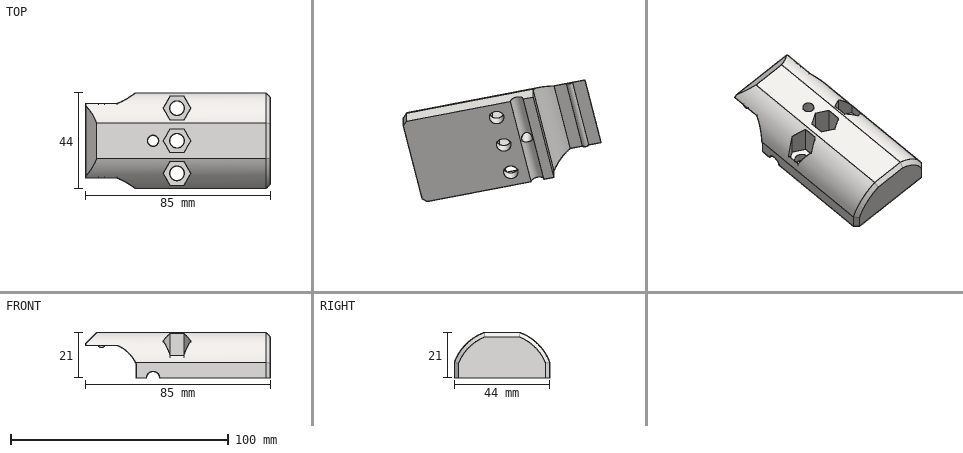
import cadquery as cq
import math

length = 85.0
width = 44.0
height = 21.0
crown_radius = 23.5
crown_axis_z = -1.0
end_chamfer = 2.0

tail_underside_z = 15.0
lip_bevel = 5.0
wall_x = 23.25
relief_radius = 16.25
relief_center_x = 8.25
relief_center_z = 0.0

rib_x = 7.25
rib_radius = 1.6
rib_depth = 1.0
groove_radius = 3.0
groove_x = 31.0

bolt_x = 42.0
bolt_pitch = 15.0
bolt_diameter = 6.6
nut_across_flats = 11.0
nut_seat_z = 5.0
pin_hole_x = 31.0
pin_hole_diameter = 5.0


def crown_half_width(z):
    """Half width of the crown circle at height z."""
    return math.sqrt(crown_radius**2 - (z - crown_axis_z) ** 2)


def crowned_bar():
    """Crowned bar tapering at the far end; it starts below z = 0 so the taper misses the underside."""
    half = width / 2
    base_z = -2 * end_chamfer
    shoulder_z = crown_axis_z + math.sqrt(crown_radius**2 - half**2)
    flat_half = crown_half_width(height)
    mid_y = (half + flat_half) / 2
    mid_z = crown_axis_z + math.sqrt(crown_radius**2 - mid_y**2)
    section = (
        cq.Workplane("YZ")
        .moveTo(-half, base_z)
        .lineTo(half, base_z)
        .lineTo(half, shoulder_z)
        .threePointArc((mid_y, mid_z), (flat_half, height))
        .lineTo(-flat_half, height)
        .threePointArc((-mid_y, mid_z), (-half, shoulder_z))
        .close()
    )
    straight_length = length - end_chamfer
    straight = section.extrude(straight_length)
    return straight.faces(">X").wires().toPending().workplane().extrude(end_chamfer, taper=45)


def side_profile():
    """Side outline of tail, concave relief and body, extruded across the width."""
    relief_start_x = relief_center_x + math.sqrt(
        relief_radius**2 - (tail_underside_z - relief_center_z) ** 2
    )
    relief_end_z = relief_center_z + math.sqrt(relief_radius**2 - (wall_x - relief_center_x) ** 2)
    mid_angle = math.radians(45)
    relief_mid = (
        relief_center_x + relief_radius * math.cos(mid_angle),
        relief_center_z + relief_radius * math.sin(mid_angle),
    )
    return (
        cq.Workplane("XZ")
        .moveTo(wall_x, 0)
        .lineTo(length, 0)
        .lineTo(length, height)
        .lineTo(lip_bevel, height)
        .lineTo(0, height - lip_bevel)
        .lineTo(0, tail_underside_z)
        .lineTo(relief_start_x, tail_underside_z)
        .threePointArc(relief_mid, (wall_x, relief_end_z))
        .close()
        .extrude(width / 2, both=True)
    )


def locking_rib():
    """Rounded rib below the tail, as wide as the underside of the tail."""
    rib_half_width = crown_half_width(tail_underside_z)
    half_chord = math.sqrt(rib_radius**2 - (rib_radius - rib_depth) ** 2)
    return (
        cq.Workplane("XZ")
        .moveTo(rib_x - half_chord, tail_underside_z)
        .threePointArc((rib_x, tail_underside_z - rib_depth), (rib_x + half_chord, tail_underside_z))
        .close()
        .extrude(rib_half_width, both=True)
    )


def groove():
    """Half-round groove across the underside."""
    return cq.Workplane("XZ").center(groove_x, 0).circle(groove_radius).extrude(width / 2, both=True)


def bolt_cuts():
    """Row of three through bolts with hexagonal nut pockets open at the top."""
    positions = [(bolt_x, row * bolt_pitch) for row in (-1, 0, 1)]
    corner_diameter = nut_across_flats / math.cos(math.pi / 6)
    holes = cq.Workplane("XY").pushPoints(positions).circle(bolt_diameter / 2).extrude(height)
    pockets = (
        cq.Workplane("XY", origin=(0, 0, nut_seat_z))
        .pushPoints(positions)
        .polygon(6, corner_diameter)
        .extrude(height - nut_seat_z)
    )
    return holes.union(pockets)


def pin_hole():
    """Through hole meeting the groove."""
    return cq.Workplane("XY").center(pin_hole_x, 0).circle(pin_hole_diameter / 2).extrude(height)


result = (
    crowned_bar()
    .intersect(side_profile())
    .union(locking_rib())
    .cut(groove())
    .cut(bolt_cuts())
    .cut(pin_hole())
)